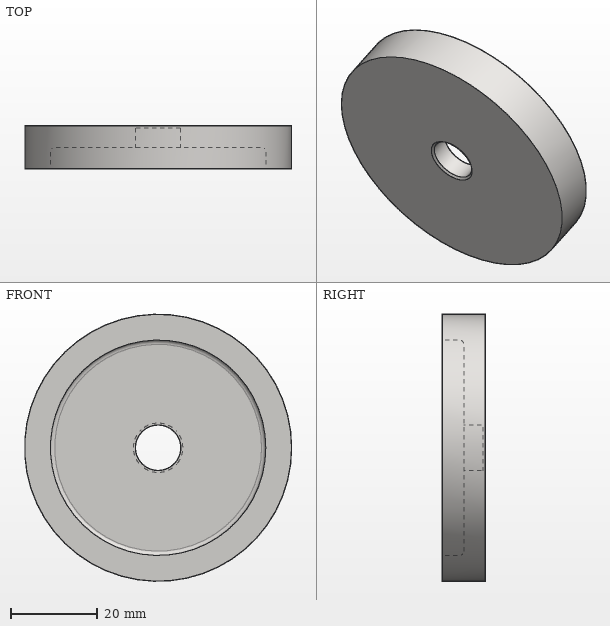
import cadquery as cq

outer_diameter = 62.0
thickness = 10.0
bore_diameter = 10.5
bore_chamfer = 0.5
recess_diameter = 50.0
recess_depth = thickness / 2
recess_fillet = 1.0

front_y = -thickness / 2


def cylinder_from_front(diameter, length):
    """Cylinder about the Y axis, starting at the front face and running toward +Y."""
    front_plane = cq.Workplane("XZ", origin=(0, front_y, 0))
    return front_plane.circle(diameter / 2).extrude(-length)


disc = cylinder_from_front(outer_diameter, thickness)

recess = cylinder_from_front(recess_diameter, recess_depth)
recess = recess.faces(">Y").edges().fillet(recess_fillet)

bore = cylinder_from_front(bore_diameter, thickness)

result = disc.cut(recess).cut(bore)

smallest_circle = cq.selectors.RadiusNthSelector(0)
result = result.faces(">Y").edges(smallest_circle).chamfer(bore_chamfer)